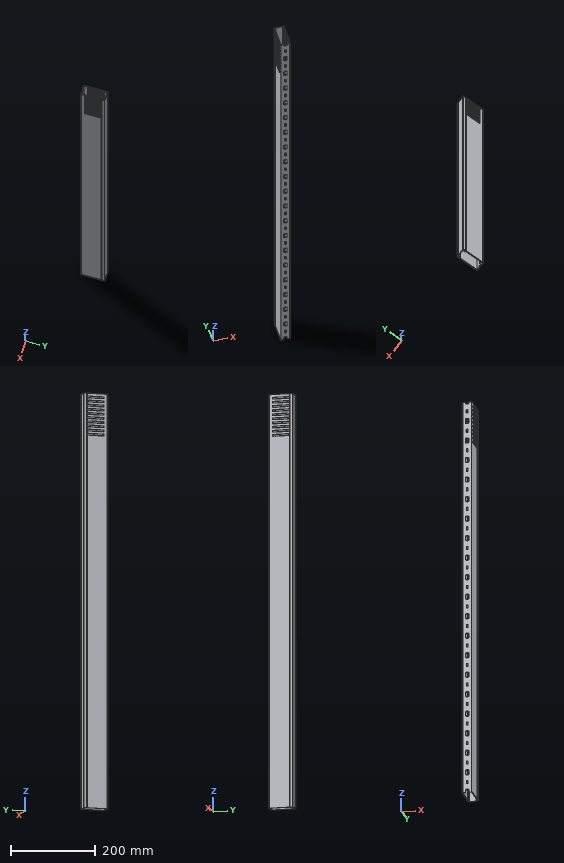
import cadquery as cq

width = 25.0
height = 60.0
length = 1000.0

wall = 1.8
base_corner_radius = 1.0

lid_wall = 1.2
lid_skirt = 8.0
lid_corner_radius = 1.0

lid_gap = 1.0
shoulder_y = height - lid_skirt - lid_gap
rim_step = 1.0
rim_bottom_y = shoulder_y + rim_step
rim_top_y = height - lid_wall
rim_depth = 2.4
rim_outer_x = width / 2 - lid_wall
rim_inner_x = rim_outer_x - rim_depth

slot_count = 10
slot_pitch = 10.0
slot_width = 3.8
slot_bottom_y = 10.0
slot_top_y = shoulder_y
first_slot_from_top = 9.0

hole_pitch = 50.0
large_hole_count = 21
large_hole_start_z = 1.5
large_hole_width = 8.0
large_hole_length = 13.0
small_hole_count = large_hole_count - 1
small_hole_start_z = large_hole_start_z + hole_pitch / 2
small_hole_width = 4.0
small_hole_length = 7.5


def duct_channel():
    """U-shaped channel with its walls stepped inward at the rims and its base corners rounded."""
    outer_x = width / 2
    inner_x = outer_x - wall
    right_side = [
        (outer_x, 0),
        (outer_x, shoulder_y),
        (rim_outer_x, shoulder_y),
        (rim_outer_x, rim_top_y),
        (rim_inner_x, rim_top_y),
        (rim_inner_x, rim_bottom_y),
        (inner_x, rim_bottom_y),
        (inner_x, wall),
    ]
    left_side = [(-x, y) for x, y in reversed(right_side)]
    channel = cq.Workplane("XY").polyline(right_side + left_side).close().extrude(length)
    return channel.edges("|Z and <Y").fillet(base_corner_radius)


def base_holes(hole_width, hole_length, start_z, count):
    """A column of upright round-ended holes through the base."""
    centers = [(0, start_z + i * hole_pitch) for i in range(count)]
    holes = cq.Workplane("XZ").pushPoints(centers).slot2D(hole_length, hole_width, 90)
    return holes.extrude(-wall)


def wire_slots():
    """A column of slots running across both side walls, from near the base to the shoulder."""
    slot_length = slot_top_y - slot_bottom_y
    center_y = (slot_top_y + slot_bottom_y) / 2
    first_z = length - first_slot_from_top
    centers = [(center_y, first_z - i * slot_pitch) for i in range(slot_count)]
    slots = cq.Workplane("YZ").pushPoints(centers).rect(slot_length, slot_width)
    return slots.extrude(width / 2, both=True)


def make_duct():
    large_holes = base_holes(large_hole_width, large_hole_length, large_hole_start_z, large_hole_count)
    small_holes = base_holes(small_hole_width, small_hole_length, small_hole_start_z, small_hole_count)
    return duct_channel().cut(large_holes).cut(small_holes).cut(wire_slots())


def make_lid():
    """Channel with rounded outer corners, open toward the duct."""
    outer = cq.Workplane("XY").center(0, height - lid_skirt / 2).rect(width, lid_skirt).extrude(length)
    outer = outer.edges("|Z and >Y").fillet(lid_corner_radius)
    cavity_y = height - lid_wall - lid_skirt / 2
    cavity = cq.Workplane("XY").center(0, cavity_y).rect(width - 2 * lid_wall, lid_skirt).extrude(length)
    return outer.cut(cavity)


duct = make_duct()
lid = make_lid()
result = cq.Compound.makeCompound([duct.val(), lid.val()])